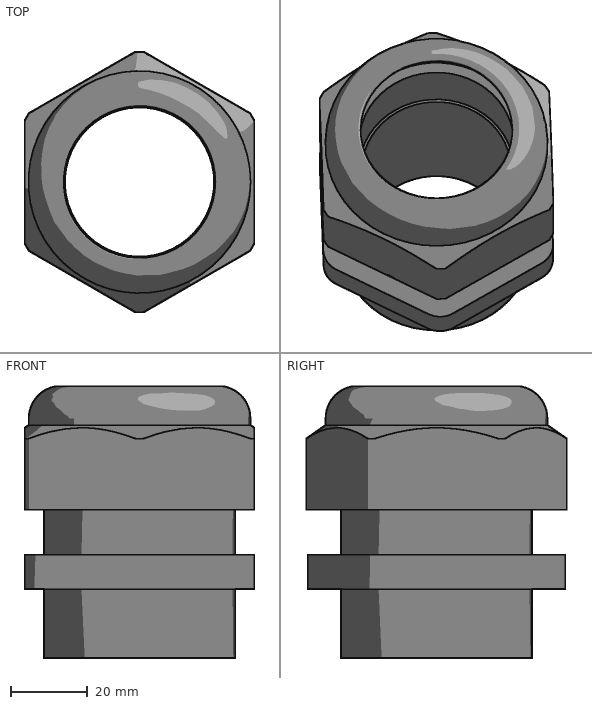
import cadquery as cq
import math

across_flats = 60.0
across_corners = across_flats / math.cos(math.radians(30))

thread_radius = 25.0
flange_bottom = 18.0
flange_top = 27.0
flange_corner_radius = 6.5
body_top = 63.0
body_bore_radius = 19.45

seal_outer_radius = 23.0
seal_bore_radius = 20.2
seal_bottom = 45.8
seal_recess = 0.6
seal_top = body_top - seal_recess

cap_bottom = 38.7
cap_top = 71.0
corner_turning_radius = 34.005
corner_edge_radius = 0.5
collar_radius = 29.0
chamfer_top = 60.8
chamfer_slope = 0.7
dome_bottom = 62.5
rim_outer_radius = 21.6
mouth_radius = 19.8
mouth_edge_radius = 0.6
mouth_land = 0.3


def hexagon(bottom, top):
    """Hexagonal prism with two flats facing +X and -X."""
    return (
        cq.Workplane("XY")
        .workplane(offset=bottom)
        .polygon(6, across_corners)
        .extrude(top - bottom)
        .rotate((0, 0, 0), (0, 0, 1), 30)
    )


def cylinder(radius, bottom, top):
    return cq.Workplane("XY").workplane(offset=bottom).circle(radius).extrude(top - bottom)


def revolve_about_z(profile):
    """Turn a closed (radius, height) profile around the Z axis."""
    return profile.close().revolve(360, (0, 0, 0), (0, 1, 0))


def make_body():
    flange = hexagon(flange_bottom, flange_top).edges("|Z").fillet(flange_corner_radius)
    tube = cylinder(thread_radius, 0, body_top)
    bore = cylinder(body_bore_radius, 0, body_top)
    seal_seat = cylinder(seal_outer_radius, seal_bottom, body_top)
    return tube.union(flange).cut(bore).cut(seal_seat)


def make_seal():
    bore = cylinder(seal_bore_radius, seal_bottom, seal_top)
    return cylinder(seal_outer_radius, seal_bottom, seal_top).cut(bore)


def dome_midpoint():
    """Point halfway along the dome arc, which rises vertically from the collar."""
    inset = collar_radius - rim_outer_radius
    rise = cap_top - dome_bottom
    arc_radius = (inset**2 + rise**2) / (2 * inset)
    half_sweep = math.atan2(inset, rise)
    mid_radius = collar_radius - arc_radius * (1 - math.cos(half_sweep))
    mid_height = dome_bottom + arc_radius * math.sin(half_sweep)
    return mid_radius, mid_height


def make_skirt():
    """Hexagon with turned-down, eased corners and a conical chamfer on top."""
    corner_cylinder = cylinder(corner_turning_radius, cap_bottom, chamfer_top)
    prism = hexagon(cap_bottom, chamfer_top).intersect(corner_cylinder)
    prism = prism.edges("|Z").fillet(corner_edge_radius)
    corner_radius = across_corners / 2
    chamfer_envelope = revolve_about_z(
        cq.Workplane("XZ")
        .moveTo(0, cap_bottom)
        .lineTo(corner_radius, cap_bottom)
        .lineTo(corner_radius, chamfer_top - chamfer_slope * (corner_radius - collar_radius))
        .lineTo(collar_radius, chamfer_top)
        .lineTo(0, chamfer_top)
    )
    return prism.intersect(chamfer_envelope)


def make_collar():
    return revolve_about_z(
        cq.Workplane("XZ")
        .moveTo(0, cap_bottom)
        .lineTo(collar_radius, cap_bottom)
        .lineTo(collar_radius, dome_bottom)
        .threePointArc(dome_midpoint(), (rim_outer_radius, cap_top))
        .lineTo(0, cap_top)
    )


def make_cap_cavity():
    """Thread bore, conical ceiling above the body, and a mouth with a rounded edge."""
    mouth_edge_bottom = cap_top - mouth_edge_radius
    edge_inset = mouth_edge_radius * (1 - math.cos(math.radians(45)))
    return revolve_about_z(
        cq.Workplane("XZ")
        .moveTo(0, cap_bottom)
        .lineTo(thread_radius, cap_bottom)
        .lineTo(thread_radius, body_top)
        .lineTo(mouth_radius, mouth_edge_bottom - mouth_land)
        .lineTo(mouth_radius, mouth_edge_bottom)
        .threePointArc(
            (mouth_radius + edge_inset, cap_top - edge_inset),
            (mouth_radius + mouth_edge_radius, cap_top),
        )
        .lineTo(0, cap_top)
    )


def make_cap():
    return make_skirt().union(make_collar()).cut(make_cap_cavity())


body = make_body()
seal = make_seal()
cap = make_cap()

result = cq.Compound.makeCompound([body.val(), seal.val(), cap.val()])